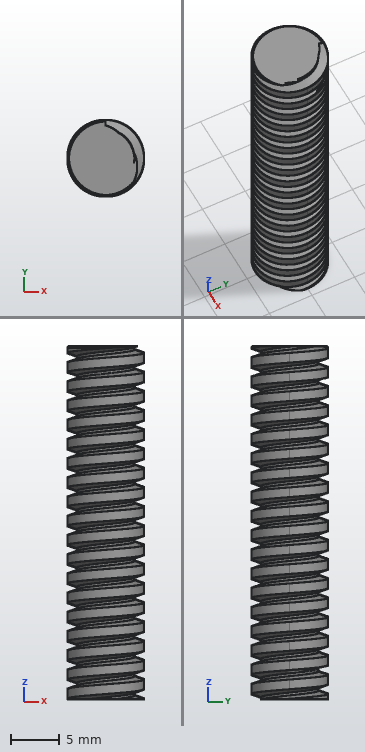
import cadquery as cq

length = 36.75
outer_diameter = 8.0
outer_radius = outer_diameter / 2
top_chamfer = 0.2

pitch = 2.0
turns = 19
groove_depth = 1.03
mouth_width = 1.0
floor_width = 0.3
groove_end_height = 37.05
overcut = 0.2


def make_rod():
    rod = cq.Workplane("XY").circle(outer_radius).extrude(length)
    return rod.faces(">Z").chamfer(top_chamfer)


def make_groove_cutter():
    """Sweep the groove profile along a helix whose two ends lie on the +Y side."""
    root_radius = outer_radius - groove_depth
    cutter_radius = outer_radius + overcut
    flank_slope = (mouth_width - floor_width) / (2 * groove_depth)
    half_floor = floor_width / 2
    half_top = mouth_width / 2 + overcut * flank_slope
    helix_height = turns * pitch

    helix = cq.Wire.makeHelix(pitch, helix_height, root_radius)
    profile = cq.Workplane("XZ").polyline([
        (root_radius, -half_floor),
        (cutter_radius, -half_top),
        (cutter_radius, half_top),
        (root_radius, half_floor),
    ]).close()
    cutter = profile.sweep(cq.Workplane(helix), isFrenet=True)
    cutter = cutter.rotate((0, 0, 0), (0, 0, 1), 90)
    return cutter.translate((0, 0, groove_end_height - helix_height))


result = make_rod().cut(make_groove_cutter())